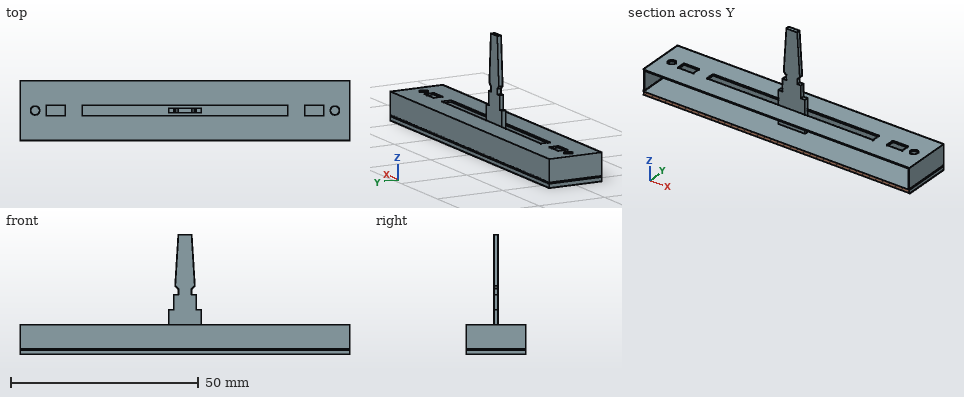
import cadquery as cq

length = 88.0
width = 16.0
housing_top = 8.0
lever_top = 32.0

plate_thickness = 1.2
housing_gap = 0.3
housing_bottom = plate_thickness + housing_gap

sheet = 0.5
slot_length = 54.9
slot_width = 2.85
window_length = 5.1
window_offset = 34.5
screw_hole_diameter = 2.39
screw_hole_offset = 40.0

lever_bottom = housing_bottom
lever_thickness = 1.2
foot_half_width = 4.4
foot_top = 12.0
shoulder_half_width = 3.05
shoulder_top = 16.0
neck_half_width = 1.8
neck_top = 17.5
grip_half_width = 2.65
grip_bottom = neck_top + grip_half_width - neck_half_width
tip_half_width = neck_half_width


def block(size_x, size_y, bottom, top):
    """Rectangular block centred on the Z axis, between two heights."""
    return (
        cq.Workplane("XY")
        .workplane(offset=bottom)
        .rect(size_x, size_y)
        .extrude(top - bottom)
    )


def make_base_plate():
    return block(length, width, 0, plate_thickness)


def make_housing():
    ceiling = housing_top - sheet
    shell = block(length, width, housing_bottom, housing_top)
    shell = shell.cut(block(length - 2 * sheet, width - 2 * sheet, housing_bottom, ceiling))
    openings = block(slot_length, slot_width, ceiling, housing_top)
    for side in (-1, 1):
        window = block(window_length, slot_width, ceiling, housing_top)
        openings = openings.add(window.translate((side * window_offset, 0, 0)))
        screw_hole = (
            cq.Workplane("XY")
            .workplane(offset=ceiling)
            .center(side * screw_hole_offset, 0)
            .circle(screw_hole_diameter / 2)
            .extrude(sheet)
        )
        openings = openings.add(screw_hole)
    for opening in openings.vals():
        shell = shell.cut(cq.Workplane(opening))
    return shell


def make_lever():
    right_side = [
        (foot_half_width, lever_bottom),
        (foot_half_width, foot_top),
        (shoulder_half_width, foot_top),
        (shoulder_half_width, shoulder_top),
        (neck_half_width, shoulder_top),
        (neck_half_width, neck_top),
        (grip_half_width, grip_bottom),
        (tip_half_width, lever_top),
    ]
    left_side = [(-x, z) for x, z in reversed(right_side)]
    return (
        cq.Workplane("XZ")
        .polyline(right_side + left_side)
        .close()
        .extrude(lever_thickness / 2, both=True)
    )


base_plate = make_base_plate()
housing = make_housing()
lever = make_lever()

result = cq.Compound.makeCompound([base_plate.val(), housing.val(), lever.val()])